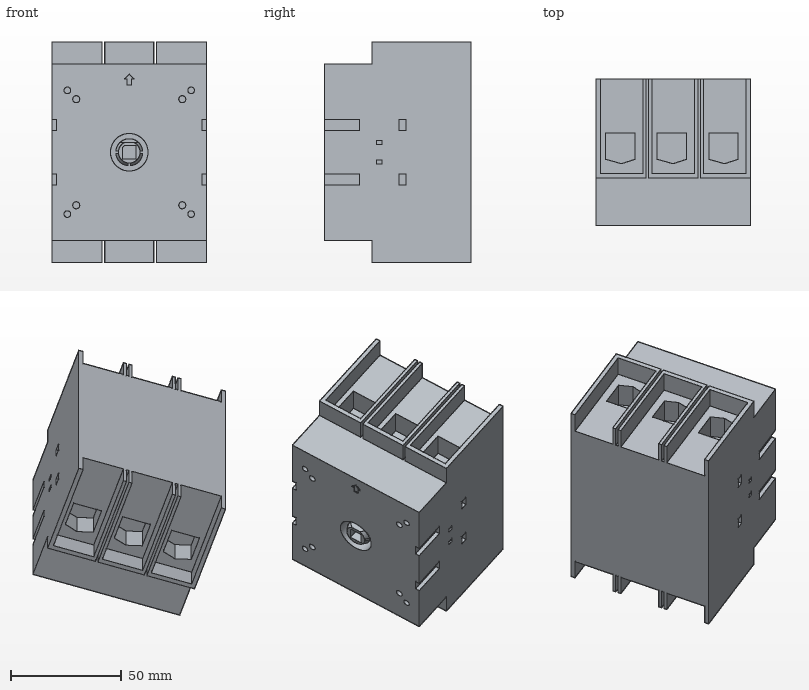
import cadquery as cq

width = 69.99
depth = 66.5
height = 100.0
poles = 3

cover_height = 80.0
cover_depth = 21.5
bay_floor_z = cover_height / 2

pole_pitch = width / poles
bay_gap = 1.15
bay_width = 19.2
bay_front_wall = 2.1
bay_length = depth - cover_depth - bay_front_wall

opening_width = 13.3
opening_offset = -0.6
opening_tip_offset = -0.1
opening_back_y = depth - 24.45
opening_side_length = 12.0
opening_tip_rise = 2.0
opening_depth = 12.0

outer_hole_spacing = 56.0
outer_hole_diameter = 3.0
inner_hole_spacing = 48.0
inner_hole_diameter = 3.2
mounting_hole_depth = 10.0

arrow_tip_z = 35.3
arrow_barb_z = 33.1
arrow_tail_z = 30.5
arrow_half_width = 2.25
arrow_shaft_half_width = 1.1
arrow_depth = 0.5

latch_z = 12.25
latch_height = 5.0
latch_depth = 2.0
latch_slot_length = 16.0
latch_pocket_near_y = 33.8
latch_pocket_length = 3.2
small_pocket_z = 4.35
small_pocket_height = 1.8
small_pocket_near_y = 23.7
small_pocket_length = 2.4
small_pocket_depth = 1.0

recess_diameter = 17.0
recess_depth = 8.0
drive_diameter = 12.2
drive_tip_diameter = 9.8
drive_taper_length = 2.1
drive_flat_z = 4.45
drive_flat_length = 4.5
drive_notch_width = 1.0
socket_size = 5.9
socket_corner_chamfer = 0.7
socket_depth = 10.0


def box_between(x_range, y_range, z_range):
    """Axis-aligned box given by its limits along X, Y and Z."""
    size = [high - low for low, high in (x_range, y_range, z_range)]
    corner = (x_range[0], y_range[0], z_range[0])
    return cq.Workplane("XY").box(*size, centered=False).translate(corner)


def front_sketch():
    """Front face plane: local x is X, local y is Z, negative extrusion goes into the part."""
    return cq.Workplane("XZ")


def make_body():
    blocks = box_between((-width / 2, width / 2), (cover_depth, depth), (-height / 2, height / 2))
    cover = box_between((-width / 2, width / 2), (0, cover_depth), (-cover_height / 2, cover_height / 2))
    return blocks.union(cover)


def make_bay_cuts():
    """Bays, terminal openings and gaps between poles at the top end."""
    vertical = (bay_floor_z, height / 2)
    cuts = cq.Workplane("XY")
    for pole in range(poles):
        centre_x = (pole - (poles - 1) / 2) * pole_pitch
        bay = box_between(
            (centre_x - bay_width / 2, centre_x + bay_width / 2), (depth - bay_length, depth), vertical
        )
        left = centre_x + opening_offset - opening_width / 2
        right = left + opening_width
        shoulder_y = opening_back_y - opening_side_length
        opening = (
            cq.Workplane("XY", origin=(0, 0, bay_floor_z))
            .moveTo(left, opening_back_y)
            .lineTo(right, opening_back_y)
            .lineTo(right, shoulder_y)
            .lineTo(centre_x + opening_tip_offset, shoulder_y - opening_tip_rise)
            .lineTo(left, shoulder_y)
            .close()
            .extrude(-opening_depth)
        )
        cuts = cuts.add(bay).add(opening)
    for gap in range(poles - 1):
        gap_x = (gap + 1) * pole_pitch - width / 2
        gap_range = (gap_x - bay_gap / 2, gap_x + bay_gap / 2)
        cuts = cuts.add(box_between(gap_range, (cover_depth, depth), vertical))
    return cuts.combine()


def make_mounting_holes():
    holes = front_sketch()
    for spacing, diameter in (
        (outer_hole_spacing, outer_hole_diameter),
        (inner_hole_spacing, inner_hole_diameter),
    ):
        holes = holes.add(
            front_sketch()
            .rect(spacing, spacing, forConstruction=True)
            .vertices()
            .circle(diameter / 2)
            .extrude(-mounting_hole_depth)
        )
    return holes.combine()


def make_arrow():
    return (
        front_sketch()
        .moveTo(0, arrow_tip_z)
        .lineTo(arrow_half_width, arrow_barb_z)
        .lineTo(arrow_shaft_half_width, arrow_barb_z)
        .lineTo(arrow_shaft_half_width, arrow_tail_z)
        .lineTo(-arrow_shaft_half_width, arrow_tail_z)
        .lineTo(-arrow_shaft_half_width, arrow_barb_z)
        .lineTo(-arrow_half_width, arrow_barb_z)
        .close()
        .extrude(-arrow_depth)
    )


def make_side_cuts():
    """Latch slots, latch pockets and small pockets of the left side face."""
    cuts = cq.Workplane("XY")
    for near_y, length, centre_z, tall, deep in (
        (0, latch_slot_length, latch_z, latch_height, latch_depth),
        (latch_pocket_near_y, latch_pocket_length, latch_z, latch_height, latch_depth),
        (small_pocket_near_y, small_pocket_length, small_pocket_z, small_pocket_height, small_pocket_depth),
    ):
        for z in (-centre_z, centre_z):
            cuts = cuts.add(
                box_between(
                    (-width / 2, -width / 2 + deep), (near_y, near_y + length), (z - tall / 2, z + tall / 2)
                )
            )
    return cuts.combine()


def make_drive():
    """Tapered drive post with a flat at the top of its front end and three notches."""
    post = front_sketch().circle(drive_diameter / 2).extrude(-recess_depth)
    taper = (drive_diameter - drive_tip_diameter) / 2
    post = post.faces("<Y").chamfer(drive_taper_length, taper)
    radius = drive_diameter / 2
    post = post.cut(box_between((-radius, radius), (0, drive_flat_length), (drive_flat_z, radius)))
    notch = box_between(
        (-drive_notch_width / 2, drive_notch_width / 2),
        (0, recess_depth),
        (-radius, -drive_tip_diameter / 2),
    )
    for angle in (-90, 0, 90):
        post = post.cut(notch.rotate((0, 0, 0), (0, 1, 0), angle))
    return post


def make_socket():
    socket = front_sketch().rect(socket_size, socket_size).extrude(-socket_depth)
    return socket.edges("|Y").edges("<X").edges(">Z").chamfer(socket_corner_chamfer)


bay_cuts = make_bay_cuts()
side_cuts = make_side_cuts()

result = make_body()
result = result.cut(bay_cuts).cut(bay_cuts.mirror("XY"))
result = result.cut(side_cuts).cut(side_cuts.mirror("YZ"))
result = result.cut(make_mounting_holes()).cut(make_arrow())
result = result.cut(front_sketch().circle(recess_diameter / 2).extrude(-recess_depth))
result = result.union(make_drive()).cut(make_socket())